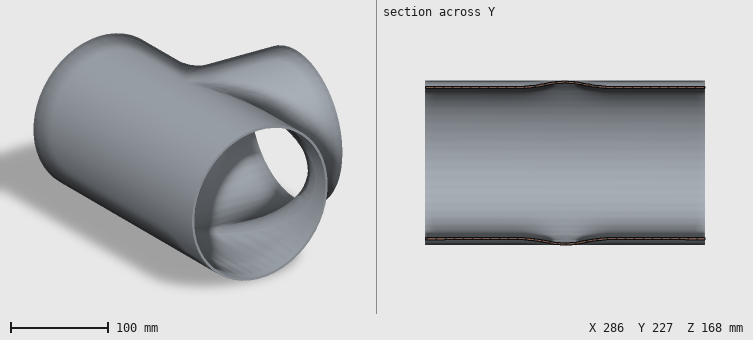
import cadquery as cq
import math

run_length = 286.0
outer_radius = 84.0
bore_radius = 81.5
branch_reach = 143.0
crotch_radius = 40.0
blend_reach = outer_radius + crotch_radius

arc_steps = 12
height_steps = 36
spline_tolerance = 1e-4
seam_tolerance = 1e-3


def run_faces(radius):
    """Run wall and its two end discs, with a V-shaped opening for the branch and blends."""
    half_length = run_length / 2
    end_height = half_length * radius / blend_reach
    outline = [
        (0, 0),
        (half_length, end_height),
        (half_length, -radius),
        (-half_length, -radius),
        (-half_length, end_height),
    ]
    kept_region = cq.Workplane("XY").polyline(outline).close().extrude(radius, both=True)
    pipe = cq.Workplane("YZ").circle(radius).extrude(half_length, both=True)
    return pipe.intersect(kept_region).faces("%CYLINDER or <X or >X").vals()


def branch_faces(radius):
    """Branch wall and its end disc, cut to a V that comes to a point on the run axis."""
    outline = [
        (0, 0),
        (radius, blend_reach),
        (radius, branch_reach),
        (-radius, branch_reach),
        (-radius, blend_reach),
    ]
    kept_region = cq.Workplane("XY").polyline(outline).close().extrude(radius, both=True)
    pipe = cq.Workplane("XZ").circle(radius).extrude(-branch_reach)
    return pipe.intersect(kept_region).faces("%CYLINDER or >Y").vals()


def blend_face(radius):
    """Crotch blend between run and branch on the +X side.

    Every level section is the same concave quarter circle, scaled by the half width of the
    pipes at that level, so the blend shrinks to a point at the top and bottom of the tee.
    """
    blend_radius = blend_reach - radius

    def surface_point(arc_step, height_step):
        arc_angle = math.pi / 2 * arc_step / arc_steps
        pipe_angle = math.pi * (height_step / height_steps - 0.5)
        is_tip = height_step in (0, height_steps)
        scale = 0.0 if is_tip else math.cos(pipe_angle)
        x = blend_reach - blend_radius * math.sin(arc_angle)
        y = blend_reach - blend_radius * math.cos(arc_angle)
        return cq.Vector(x * scale, y * scale, radius * math.sin(pipe_angle))

    points = [
        [surface_point(arc_step, height_step) for height_step in range(height_steps + 1)]
        for arc_step in range(arc_steps + 1)
    ]
    return cq.Face.makeSplineApprox(points, tol=spline_tolerance, minDeg=3, maxDeg=6)


def solid_tee(radius):
    """Solid tee whose run and branch both have the given radius."""
    right_blend = blend_face(radius)
    left_blend = right_blend.mirror("YZ")
    faces = [*run_faces(radius), *branch_faces(radius), right_blend, left_blend]
    skin = cq.occ_impl.shapes.shell(*faces, tol=seam_tolerance)
    return cq.Workplane(cq.Solid.makeSolid(skin))


result = solid_tee(outer_radius).cut(solid_tee(bore_radius)).solids()